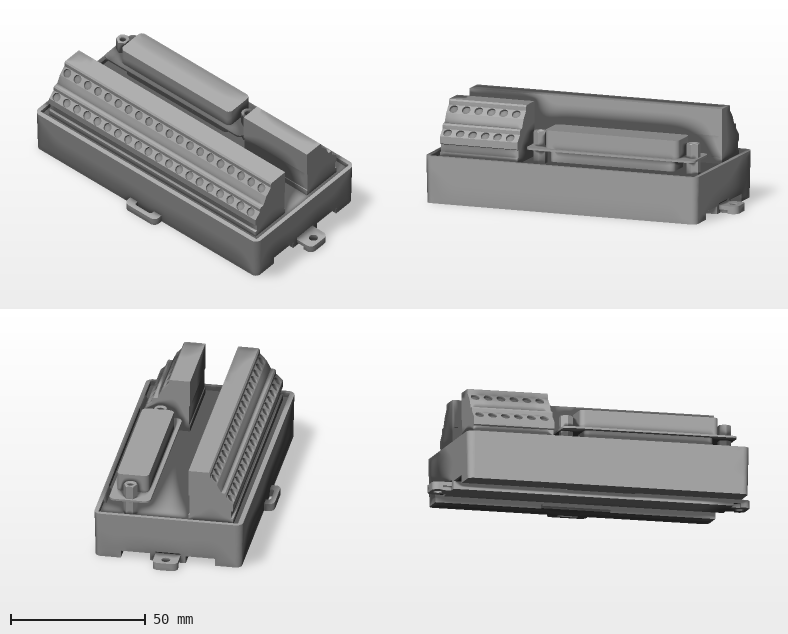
import cadquery as cq
import math

housing_length = 109.0
housing_width = 56.2
housing_height = 17.9
wall_draft = 0.43
corner_radius = 2.2
rim_thickness = 1.6
front_rim_thickness = 1.8
board_depth = 1.8
board_thickness = 1.6
board_gap = 0.4

channel_height = 3.0
channel_outer = 17.8
channel_inner = 6.7

snap_length = 10.3
snap_reach = 1.1
snap_spacing = 73.8

overall_length = 122.6
ear_width = 9.5
ear_thickness = channel_height
ear_corner_radius = 2.2
ear_hole_diameter = 3.3
ear_hole_spacing = 116.5
ear_head_length = 3.8
ear_notch_height = 1.5
ear_notch_depth = 1.2
ear_relief = 0.9

clip_width = 26.4
clip_tab_width = 15.2
clip_tab_end = 31.4
clip_tab_radius = 2.2
clip_slot_length = 8.0
clip_slot_end = 29.5
clip_slot_radius = 1.0
hook_height = 1.5
hook_tip_height = 0.7
clip_hook_reach = 1.6
clip_hook_bevel = 0.7
fixed_hook_reach = 2.7
fixed_hook_bevel = 1.5
rib_height = 0.2
rib_width = 2.2
rib_center = 14.7

terminal_pitch = 95.0 / 19
terminal_hole_diameter = 3.3
terminal_hole_depth = 1.0
terminal_end_cap = 1.0
terminal_outer_end = 50.5
terminal_back = 7.1
terminal_shift = 1.8
long_row_count = 20
short_row_count = 6
block_top = 36.9
foot_top = 18.5
foot_slope = 0.2
back_recess_depth = 0.4
back_recess_top = 26.6
front_groove_depth = 0.9

connector_x = -17.5
connector_y = 15.2
plate_length = 67.4
plate_width = 15.6
plate_bottom = 22.2
plate_thickness = 0.7
plate_radius = 2.3
shell_length = 53.3
shell_width = 12.0
shell_radius = 1.8
shell_top = 29.8
lower_shell_length = 49.7
lower_shell_width = 11.0
lower_shell_bottom = housing_height
standoff_flats = 4.5
standoff_spacing = 61.2
standoff_top = 28.2
standoff_hole_diameter = 3.0
standoff_bore_diameter = 2.2
standoff_bevel = 0.4

foot_length = housing_length - 2 * wall_draft
foot_width = housing_width - 2 * wall_draft
draft_angle = math.degrees(math.atan(wall_draft / housing_height))
board_top = housing_height - board_depth
board_bottom = board_top - board_thickness
tray_length = housing_length - 2 * rim_thickness
tray_back = housing_width / 2 - rim_thickness
tray_front = front_rim_thickness - housing_width / 2


def block(x_range, y_range, z_range):
    """A box given by its limits along the three axes."""
    size = [high - low for low, high in (x_range, y_range, z_range)]
    corner = cq.Vector(x_range[0], y_range[0], z_range[0])
    return cq.Workplane(cq.Solid.makeBox(*size, corner))


def bar(points, length):
    """A (Y, Z) profile extruded along X, centred on the YZ plane."""
    return cq.Workplane("YZ").polyline(points).close().extrude(length / 2, both=True)


def rounded_plate(length, width, radius, bottom, top):
    plate = cq.Workplane("XY").workplane(offset=bottom).rect(length, width).extrude(top - bottom)
    return plate.edges("|Z").fillet(radius)


def make_ear():
    """The ear at the +X side, reaching into the wall it stands on."""
    inner_end = foot_length / 2 - corner_radius
    outer_end = overall_length / 2
    half_width = ear_width / 2
    ear = block((inner_end, outer_end), (-half_width, half_width), (0, ear_thickness))
    ear = ear.edges("|Z and >X").fillet(ear_corner_radius)
    hole = cq.Workplane("XY").center(ear_hole_spacing / 2, 0).circle(ear_hole_diameter / 2)
    ear = ear.cut(hole.extrude(ear_thickness))
    neck_edge = half_width - ear_notch_depth
    for y_range in ((-half_width, -neck_edge), (neck_edge, half_width)):
        notch = block((foot_length / 2, outer_end - ear_head_length), y_range, (0, ear_notch_height))
        ear = ear.cut(notch)
    return ear


def make_ear_relief():
    """The sloped undercut in the +X wall above the ear."""
    wall = housing_length / 2
    inner = foot_length / 2 - ear_relief
    profile = [(inner, ear_thickness), (wall, ear_thickness), (wall, ear_thickness + ear_relief)]
    profile.append((foot_length / 2, ear_thickness + ear_relief))
    relief = cq.Workplane("XZ").polyline(profile).close()
    return relief.extrude(ear_width / 2, both=True)


def make_snap(center_x):
    """A wedge on the +Y rim that holds the board down."""
    profile = [
        (tray_back, housing_height),
        (tray_back, board_top),
        (tray_back - snap_reach, board_top),
    ]
    return bar(profile, snap_length).translate((center_x, 0, 0))


def make_fixed_hook():
    """The hook on the +Y channel wall that grips the rail's edge."""
    tip = channel_outer - fixed_hook_reach
    profile = [
        (channel_outer, 0),
        (tip + fixed_hook_bevel, 0),
        (tip, hook_tip_height),
        (tip, hook_height),
        (channel_outer, hook_height),
    ]
    return bar(profile, clip_width)


def make_housing(clip_space):
    foot = cq.Sketch().rect(foot_length, foot_width).vertices().fillet(corner_radius)
    housing = cq.Workplane("XY").placeSketch(foot).extrude(housing_height, taper=-draft_angle)
    half_tray = tray_length / 2
    tray = block((-half_tray, half_tray), (tray_front, tray_back), (board_bottom, housing_height))
    housing = housing.cut(tray)
    half_length = housing_length / 2
    for y_range in ((-channel_outer, -channel_inner), (channel_inner, channel_outer)):
        housing = housing.cut(block((-half_length, half_length), y_range, (0, channel_height)))
    for side_angle in (0, 180):
        axis = ((0, 0, 0), (0, 0, 1), side_angle)
        housing = housing.cut(make_ear_relief().rotate(*axis)).union(make_ear().rotate(*axis))
    for center_x in (-snap_spacing / 2, snap_spacing / 2):
        housing = housing.union(make_snap(center_x))
    half_clip = clip_width / 2
    rib_range = (rib_center - rib_width / 2, rib_center + rib_width / 2)
    rib = block((-half_clip, half_clip), rib_range, (channel_height - rib_height, channel_height))
    return housing.union(make_fixed_hook()).union(rib).cut(clip_space)


def make_rail_clip():
    """A slider in the -Y side with a pull tab outside and a rail hook inside."""
    tip = clip_hook_reach - channel_outer
    profile = [
        (-foot_width / 2, 0),
        (tip - clip_hook_bevel, 0),
        (tip, hook_tip_height),
        (tip, hook_height),
        (-channel_outer, hook_height),
        (-channel_outer, channel_height),
        (-foot_width / 2, channel_height),
    ]
    half_tab = clip_tab_width / 2
    tab = block((-half_tab, half_tab), (-clip_tab_end, -channel_outer), (0, channel_height))
    tab = tab.edges("|Z and <Y").fillet(clip_tab_radius)
    half_slot = clip_slot_length / 2
    slot = block((-half_slot, half_slot), (-clip_slot_end, -foot_width / 2), (0, channel_height))
    slot = slot.edges("|Z and <Y").fillet(clip_slot_radius)
    return bar(profile, clip_width).union(tab).cut(slot)


upper_face = ((-15.3, 34.8), (-17.9, 32.1))
lower_face = ((-21.5, 26.8), (-24.0, 24.4))
front = lower_face[1][0]


def make_screw_hole(face):
    """A shallow round hole square to a sloped face, in the plane X = 0."""
    (y_high, z_high), (y_low, z_low) = face
    center = ((y_high + y_low) / 2, (z_high + z_low) / 2)
    inward = cq.Vector(0, z_high - z_low, y_low - y_high)
    radius = terminal_hole_diameter / 2
    return cq.Solid.makeCylinder(radius, terminal_hole_depth, cq.Vector(0, *center), inward)


def make_terminal_block(count):
    """A stepped terminal block facing -Y whose first hole is next to the -X end."""
    back = -terminal_back
    profile = [
        (back, board_top),
        (back, foot_top),
        (back - back_recess_depth, foot_top),
        (back - back_recess_depth, back_recess_top),
        (back, back_recess_top),
        (back, block_top),
        (-14.8, block_top),
        (-15.3, 36.3),
        *upper_face,
        (-19.5, 28.8),
        (-21.0, 28.8),
        (-21.5, 28.2),
        *lower_face,
        (front, 21.7),
        (front + front_groove_depth, 21.3),
        (front + front_groove_depth, foot_top),
        (front, foot_top - foot_slope),
        (front, board_top),
    ]
    length = count * terminal_pitch + terminal_end_cap
    terminal = bar(profile, length).translate((length / 2 - terminal_outer_end, 0, 0))
    for index in range(count):
        x = (index + 0.5) * terminal_pitch - terminal_outer_end
        for face in (upper_face, lower_face):
            terminal = terminal.cut(cq.Workplane(make_screw_hole(face).translate(cq.Vector(x, 0, 0))))
    return terminal


def make_standoff():
    """A hexagonal post with its flats facing +X and -X."""
    across_corners = standoff_flats / math.cos(math.pi / 6)
    height = standoff_top - board_top
    post = cq.Workplane("XY").workplane(offset=board_top).polygon(6, across_corners).extrude(height)
    post = post.rotate((0, 0, 0), (0, 0, 1), 90)
    bore_depth = standoff_top - plate_bottom - plate_thickness
    post = post.faces(">Z").workplane().hole(standoff_bore_diameter, bore_depth)
    bevel = (standoff_hole_diameter - standoff_bore_diameter) / 2
    post = post.faces(">Z").edges("%CIRCLE").chamfer(bevel)
    envelope = cq.Workplane("XY").workplane(offset=board_top).circle(across_corners / 2).extrude(height)
    return post.intersect(envelope.faces(">Z").chamfer(standoff_bevel))


def make_connector():
    plate_top = plate_bottom + plate_thickness
    connector = rounded_plate(
        lower_shell_length, lower_shell_width, shell_radius, lower_shell_bottom, plate_bottom
    )
    plate = rounded_plate(plate_length, plate_width, plate_radius, plate_bottom, plate_top)
    shell = rounded_plate(shell_length, shell_width, shell_radius, plate_top, shell_top)
    connector = connector.union(plate).union(shell)
    for x in (-standoff_spacing / 2, standoff_spacing / 2):
        connector = connector.union(make_standoff().translate((x, 0, 0)))
    return connector.translate((connector_x, connector_y, 0))


def make_board_assembly():
    half_tray = tray_length / 2
    board = block((-half_tray, half_tray), (tray_front + board_gap, tray_back), (board_bottom, board_top))
    short_block = make_terminal_block(short_row_count).rotate((0, 0, 0), (0, 0, 1), 180)
    short_block = short_block.translate((0, -terminal_shift, 0))
    return board.union(make_terminal_block(long_row_count)).union(short_block).union(make_connector())


rail_clip = make_rail_clip()
housing = make_housing(rail_clip)
board_assembly = make_board_assembly()

result = cq.Compound.makeCompound(
    [housing.solids().val(), board_assembly.solids().val(), rail_clip.solids().val()]
)